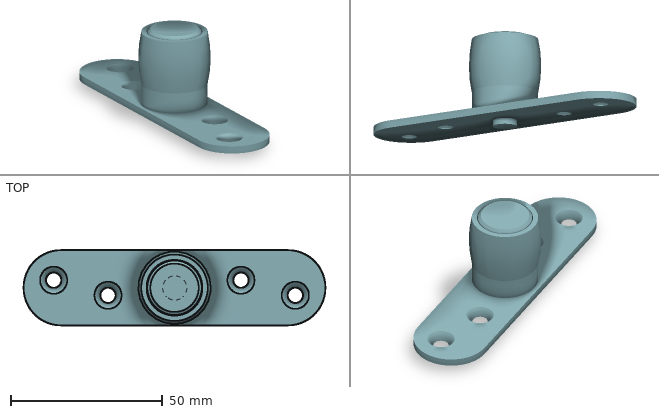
import cadquery as cq

plate_length = 100.0
plate_width = 25.0
plate_thickness = 2.5

screw_hole_bottom_diameter = 5.0
screw_hole_top_diameter = 9.0
inner_hole_x = 22.0
outer_hole_x = 40.0
hole_offset_y = 2.5
screw_hole_centers = [
    (-outer_hole_x, hole_offset_y),
    (-inner_hole_x, -hole_offset_y),
    (inner_hole_x, hole_offset_y),
    (outer_hole_x, -hole_offset_y),
]

collar_diameter = 22.0
collar_height = 7.0
collar_top = plate_thickness + collar_height
roller_end_diameter = collar_diameter
roller_middle_diameter = 24.0
roller_bore_diameter = 18.5
roller_height = 18.0
roller_top = collar_top + roller_height

core_diameter = 18.0
core_rise = 1.0
core_chamfer = core_rise
core_top = roller_top + core_rise
tail_diameter = 8.0
tail_drop = 2.0


def make_screw_cone(center):
    """Cone that widens upward through the plate, used to cut one screw hole."""
    x, y = center
    return cq.Solid.makeCone(
        screw_hole_bottom_diameter / 2,
        screw_hole_top_diameter / 2,
        plate_thickness,
        pnt=cq.Vector(x, y, 0),
    )


def make_plate():
    """Round-ended plate with four conical screw holes and a hole for the axle tail."""
    plate = (
        cq.Workplane("XY")
        .slot2D(plate_length, plate_width)
        .extrude(plate_thickness)
        .faces(">Z")
        .workplane()
        .hole(tail_diameter)
    )
    for center in screw_hole_centers:
        plate = plate.cut(cq.Workplane(make_screw_cone(center)))
    return plate


def make_collar():
    """Plain ring that stands on the plate and carries the roller."""
    return (
        cq.Workplane("XY", origin=(0, 0, plate_thickness))
        .circle(collar_diameter / 2)
        .circle(tail_diameter / 2)
        .extrude(collar_height)
    )


def make_roller():
    """Sleeve with a bulged outside and a straight bore."""
    bore_radius = roller_bore_diameter / 2
    end_radius = roller_end_diameter / 2
    middle = (roller_middle_diameter / 2, collar_top + roller_height / 2)
    return (
        cq.Workplane("XZ")
        .moveTo(bore_radius, collar_top)
        .lineTo(end_radius, collar_top)
        .threePointArc(middle, (end_radius, roller_top))
        .lineTo(bore_radius, roller_top)
        .close()
        .revolve(360, (0, 0, 0), (0, 1, 0))
    )


def make_axle():
    """Core with a chamfered top, and a tail that ends below the plate."""
    core = (
        cq.Workplane("XY", origin=(0, 0, collar_top))
        .circle(core_diameter / 2)
        .extrude(core_top - collar_top)
        .faces(">Z")
        .chamfer(core_chamfer)
    )
    tail = (
        cq.Workplane("XY", origin=(0, 0, -tail_drop))
        .circle(tail_diameter / 2)
        .extrude(tail_drop + collar_top)
    )
    return core.union(tail)


plate = make_plate()
collar = make_collar()
roller = make_roller()
axle = make_axle()

result = cq.Compound.makeCompound([plate.val(), collar.val(), roller.val(), axle.val()])